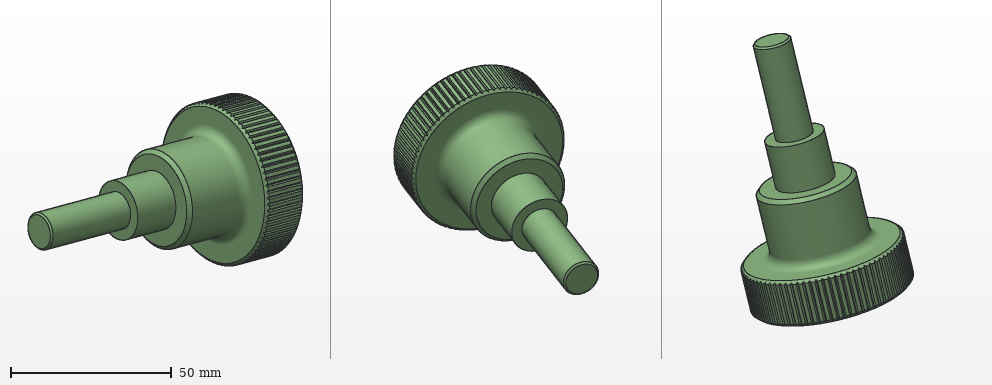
import cadquery as cq
import math

total_length = 86.0
head_length = 15.4
boss_length = 23.05
collar_length = 15.5

head_diameter = 52.0
boss_diameter = 32.0
collar_diameter = 19.0
pin_diameter = 12.0

head_chamfer = 1.0
boss_chamfer = 1.3
pin_chamfer = 0.6
root_fillet = 3.1

groove_count = 80
groove_depth = 0.4
groove_angle = 90.0

head_front = -head_length
boss_front = head_front - boss_length
collar_front = boss_front - collar_length
pin_tip = -total_length

head_radius = head_diameter / 2
boss_radius = boss_diameter / 2
collar_radius = collar_diameter / 2
pin_radius = pin_diameter / 2


def revolve_about_y(profile):
    """Turn a closed half-profile in the XY plane fully around the Y axis."""
    return profile.revolve(360, (0, 0, 0), (0, 1, 0))


def make_knob_blank():
    """Chamfered head and boss, joined by a concave root fillet."""
    fillet_sag = root_fillet * (1 - math.sqrt(0.5))
    profile = (
        cq.Workplane("XY")
        .moveTo(0, 0)
        .lineTo(head_radius - head_chamfer, 0)
        .lineTo(head_radius, -head_chamfer)
        .lineTo(head_radius, head_front + head_chamfer)
        .lineTo(head_radius - head_chamfer, head_front)
        .lineTo(boss_radius + root_fillet, head_front)
        .threePointArc(
            (boss_radius + fillet_sag, head_front - fillet_sag),
            (boss_radius, head_front - root_fillet),
        )
        .lineTo(boss_radius, boss_front + boss_chamfer)
        .lineTo(boss_radius - boss_chamfer, boss_front)
        .lineTo(0, boss_front)
        .close()
    )
    return revolve_about_y(profile)


def make_groove_cutters():
    """Triangular prisms that cut the evenly spaced V-grooves in the head rim."""
    bottom_radius = head_radius - groove_depth
    cutter_height = 2 * groove_depth
    half_width = cutter_height * math.tan(math.radians(groove_angle / 2))
    cutter = (
        cq.Workplane("XZ")
        .moveTo(bottom_radius, 0)
        .lineTo(bottom_radius + cutter_height, half_width)
        .lineTo(bottom_radius + cutter_height, -half_width)
        .close()
        .extrude(head_length)
        .val()
    )
    pitch_angle = 360 / groove_count
    cutters = []
    for index in range(groove_count):
        cutters.append(cutter.rotate(cq.Vector(0, 0, 0), cq.Vector(0, 1, 0), index * pitch_angle))
    return cq.Compound.makeCompound(cutters)


def make_knob():
    """Knob: the turned blank with its grooved grip rim."""
    return make_knob_blank().cut(cq.Workplane(make_groove_cutters()))


def make_stud():
    """Stud: a collar seated on the boss face, stepping down to a chamfered pin."""
    profile = (
        cq.Workplane("XY")
        .moveTo(0, boss_front)
        .lineTo(collar_radius, boss_front)
        .lineTo(collar_radius, collar_front)
        .lineTo(pin_radius, collar_front)
        .lineTo(pin_radius, pin_tip + pin_chamfer)
        .lineTo(pin_radius - pin_chamfer, pin_tip)
        .lineTo(0, pin_tip)
        .close()
    )
    return revolve_about_y(profile)


knob = make_knob()
stud = make_stud()

result = cq.Compound.makeCompound([knob.val(), stud.val()])